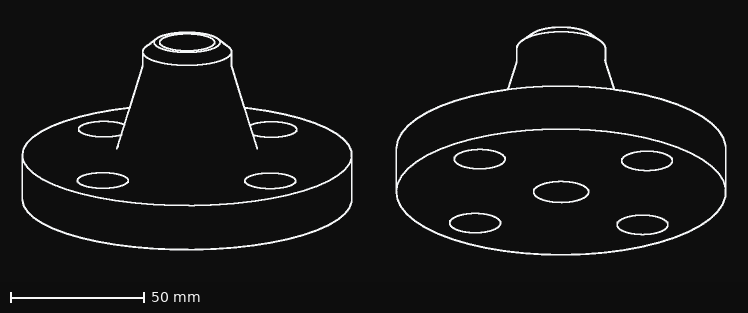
import cadquery as cq

flange_diameter = 123.9
flange_thickness = 17.5
total_height = 62.0

bolt_count = 4
bolt_circle_diameter = 89.0
bolt_hole_diameter = 19.1

bore_diameter = 20.7
neck_diameter = 33.5
hub_base_diameter = 54.0
hub_top_height = 52.4
root_fillet_radius = 3.1

bevel_height = 3.7
bevel_land_diameter = 24.8


def make_flange_body():
    """Revolve the solid flange, tapered hub and bevelled neck around Z."""
    profile = (
        cq.Workplane("XZ")
        .lineTo(flange_diameter / 2, 0)
        .lineTo(flange_diameter / 2, flange_thickness)
        .lineTo(hub_base_diameter / 2, flange_thickness)
        .lineTo(neck_diameter / 2, hub_top_height)
        .lineTo(neck_diameter / 2, total_height - bevel_height)
        .lineTo(bevel_land_diameter / 2, total_height)
        .lineTo(0, total_height)
        .close()
    )
    return profile.revolve(360, (0, 0, 0), (0, 1, 0))


def fillet_hub_root(body):
    """Round the inside corner between the flange face and the hub."""
    root_edge_diameter_rank = -2
    hub_root = cq.selectors.RadiusNthSelector(root_edge_diameter_rank)
    return body.edges(hub_root).fillet(root_fillet_radius)


def make_bore():
    """Through bore along the full height of the part."""
    return cq.Workplane("XY").circle(bore_diameter / 2).extrude(total_height)


def make_bolt_holes():
    """Through holes evenly spaced on the bolt circle, starting on +X."""
    return (
        cq.Workplane("XY")
        .polarArray(bolt_circle_diameter / 2, 0, 360, bolt_count)
        .circle(bolt_hole_diameter / 2)
        .extrude(flange_thickness)
    )


result = fillet_hub_root(make_flange_body()).cut(make_bore()).cut(make_bolt_holes())